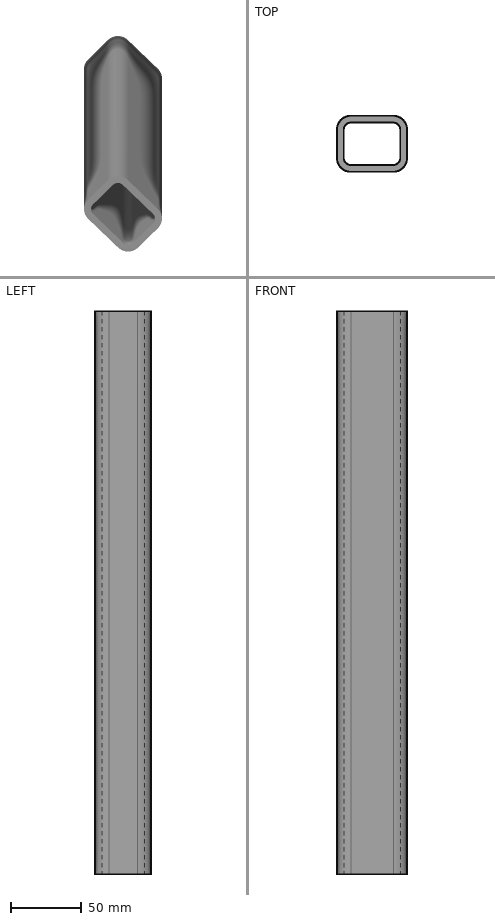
import cadquery as cq

width = 50.0
depth = 40.0
length = 400.0
outer_radius = 10.0
wall = outer_radius / 2
inner_radius = outer_radius - wall


def rounded_bar(size_x, size_y, corner_radius):
    """Upright rectangular bar with rounded vertical edges."""
    bar = cq.Workplane("XY").rect(size_x, size_y).extrude(length)
    return bar.edges("|Z").fillet(corner_radius)


outer = rounded_bar(width, depth, outer_radius)
bore = rounded_bar(width - 2 * wall, depth - 2 * wall, inner_radius)

result = outer.cut(bore)